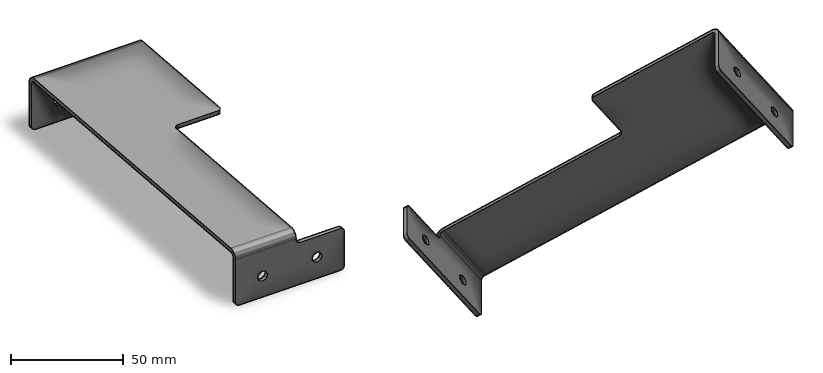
import cadquery as cq

length = 171.5
width = 57.1
height = 28.6
sheet = 2.0
bend_outer = 4.0
bend_inner = bend_outer - sheet
corner_radius = 2.0

step_x = -16.0
strip_width = 31.9
tab_height = 22.1

hole_diameter = 5.0
hole_spacing = width / 2
hole_height = 11.1

half_length = length / 2
half_width = width / 2
notch_y = strip_width - half_width


def rounded_channel():
    """Bent sheet: a plate on top with a flange down at each end."""
    outer = (
        cq.Workplane("XY")
        .box(length, width, height, centered=(True, True, False))
        .edges("|Y and >Z").fillet(bend_outer)
    )
    inner = (
        cq.Workplane("XY")
        .box(length - 2 * sheet, width, height - sheet, centered=(True, True, False))
        .edges("|Y and >Z").fillet(bend_inner)
    )
    return outer.cut(inner)


def plate_notch():
    """Cutter for the top plate, leaving a low tab on the right flange."""
    plate_cut = (
        cq.Workplane("XY")
        .box(half_length - sheet - step_x, width, height, centered=False)
        .translate((step_x, notch_y, 0))
        .edges("|Z and <X and <Y").fillet(corner_radius)
    )
    tab_cut = (
        cq.Workplane("XY")
        .box(2 * bend_outer, width, height, centered=False)
        .translate((half_length - bend_outer, notch_y, tab_height))
        .edges("|X and <Y and <Z").fillet(corner_radius)
    )
    return plate_cut.union(tab_cut)


def flange_holes():
    """Cutter for the hole pairs through both flanges."""
    return (
        cq.Workplane("YZ", origin=(-length, 0, 0))
        .pushPoints([(side * hole_spacing / 2, hole_height) for side in (-1, 1)])
        .circle(hole_diameter / 2)
        .extrude(2 * length)
    )


bracket = rounded_channel().cut(plate_notch()).cut(flange_holes())

bracket = bracket.edges("|X and <Z").fillet(corner_radius)
tab_corner = cq.selectors.NearestToPointSelector((half_length - sheet / 2, half_width, tab_height))
bracket = bracket.edges(tab_corner).fillet(corner_radius)
plate_corner = cq.selectors.NearestToPointSelector((step_x, half_width, height - sheet / 2))
result = bracket.edges(plate_corner).fillet(corner_radius)